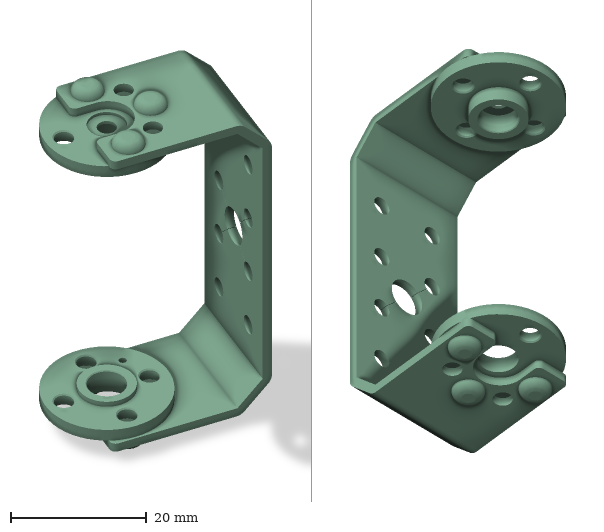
import cadquery as cq
import math

TOTAL_HEIGHT = 57.4

WIDTH = 20.0
SHEET = 1.5
HALF_SPAN = 27.2
BACK_Y = 22.05
ARM_FRONT_Y = -4.0
BEND_LEG = 4.15
BEND_ANGLE = 45
BEND_RADIUS = 2.0
CORNER_RADIUS = 1.0
SLOT_WIDTH = 8.0

HOLE_DIAMETER = 3.0
HOLE_PITCH = 10.0
WEB_HOLE_ROWS = 4
WEB_CENTRE_DIAMETER = 6.05
SLIT_WIDTH = 0.05
SCREW_CIRCLE_RADIUS = 7.0

HEAD_RADIUS = 2.5
HEAD_HEIGHT = TOTAL_HEIGHT / 2 - HALF_SPAN

HORN_X = -0.35
HORN_DIAMETER = 20.0
HORN_THICKNESS = 2.0
HORN_HOLE_CHAMFER = 0.2
HUB_DIAMETER = 8.9
UPPER_HUB_HEIGHT = 2.4
LOWER_HUB_HEIGHT = 0.9
HUB_BORE_DIAMETER = 6.0
HUB_BORE_CHAMFER = 0.145
RECESS_DEPTH = 0.5
FLOOR_THICKNESS = 0.5
PIN_HOLE_DIAMETER = 1.2
PIN_HOLE_DEPTH = 1.0

WEB_INNER_Y = BACK_Y - SHEET
ARM_INNER_Z = HALF_SPAN - SHEET
WEB_HALF_HEIGHT = ARM_INNER_Z - BEND_LEG
BEND_SETBACK = SHEET * math.tan(math.radians(BEND_ANGLE / 2))
OUTER_CORNER_Y = WEB_INNER_Y - BEND_LEG + BEND_SETBACK
OUTER_CORNER_Z = WEB_HALF_HEIGHT + BEND_SETBACK
SCREW_PLACES = [(-SCREW_CIRCLE_RADIUS, 0), (0, SCREW_CIRCLE_RADIUS), (SCREW_CIRCLE_RADIUS, 0)]
HORN_HOLE_PLACES = SCREW_PLACES + [(0, -SCREW_CIRCLE_RADIUS)]


def cylinder(diameter, bottom, top, places=((0, 0),)):
    """Upright cylinders between two heights, one at each (x, y) place."""
    return (
        cq.Workplane("XY", origin=(0, 0, bottom))
        .pushPoints(places)
        .circle(diameter / 2)
        .extrude(top - bottom)
    )


def make_web():
    web = cq.Workplane("XY").box(WIDTH, SHEET, 2 * WEB_HALF_HEIGHT)
    face = web.faces("<Y").workplane(centerOption="CenterOfBoundBox")
    web = face.rarray(HOLE_PITCH, HOLE_PITCH, 2, WEB_HOLE_ROWS).hole(HOLE_DIAMETER)
    web = web.faces("<Y").workplane(centerOption="CenterOfBoundBox").hole(WEB_CENTRE_DIAMETER)
    slit_length = HOLE_PITCH * math.sqrt(2)
    for angle in (45, -45):
        slit = cq.Workplane("XY").box(slit_length, SHEET, SLIT_WIDTH)
        web = web.cut(slit.rotate((0, 0, 0), (0, 1, 0), angle))
    return web.translate((0, BACK_Y - SHEET / 2, 0))


def bent_strip():
    """Arm sheet from the end of the web, around both 45 degree bends, to its free end.

    The rounding at the web starts a little below the end of the web, so the sheet is
    made longer by its own thickness, rounded, and then cut off square at the web.
    """
    tail_z = WEB_HALF_HEIGHT - SHEET
    strip = (
        cq.Workplane("YZ")
        .moveTo(BACK_Y, tail_z)
        .lineTo(BACK_Y, OUTER_CORNER_Z)
        .lineTo(OUTER_CORNER_Y, HALF_SPAN)
        .lineTo(ARM_FRONT_Y, HALF_SPAN)
        .lineTo(ARM_FRONT_Y, ARM_INNER_Z)
        .lineTo(WEB_INNER_Y - BEND_LEG, ARM_INNER_Z)
        .lineTo(WEB_INNER_Y, WEB_HALF_HEIGHT)
        .lineTo(WEB_INNER_Y, tail_z)
        .close()
        .extrude(WIDTH / 2, both=True)
    )
    for y, z in [(BACK_Y, OUTER_CORNER_Z), (OUTER_CORNER_Y, HALF_SPAN)]:
        strip = strip.edges(cq.selectors.NearestToPointSelector((0, y, z))).fillet(BEND_RADIUS)
    tail = cq.Workplane("XY").box(WIDTH, SHEET, SHEET)
    return strip.cut(tail.translate((0, BACK_Y - SHEET / 2, WEB_HALF_HEIGHT - SHEET / 2)))


def dome_head():
    """Screw head with a flat top and a quarter-round side as high as the head."""
    flat_radius = HEAD_RADIUS - HEAD_HEIGHT
    diagonal = HEAD_HEIGHT * math.sqrt(0.5)
    return (
        cq.Workplane("XZ")
        .lineTo(HEAD_RADIUS, 0)
        .threePointArc((flat_radius + diagonal, diagonal), (flat_radius, HEAD_HEIGHT))
        .lineTo(0, HEAD_HEIGHT)
        .close()
        .revolve(360, (0, 0, 0), (0, 1, 0))
        .translate((0, 0, HALF_SPAN))
    )


def make_upper_arm():
    arm = bent_strip()
    slot = cylinder(SLOT_WIDTH, ARM_INNER_Z, HALF_SPAN)
    slot_mouth = cq.Workplane("XY").box(SLOT_WIDTH, -ARM_FRONT_Y, SHEET, centered=(True, True, False))
    slot = slot.union(slot_mouth.translate((0, ARM_FRONT_Y / 2, ARM_INNER_Z)))
    arm = arm.cut(slot)
    arm = arm.faces("<Y").edges("|Z").fillet(CORNER_RADIUS)
    free_holes = [(side * HOLE_PITCH / 2, HOLE_PITCH / 2) for side in (-1, 1)]
    arm = arm.cut(cylinder(HOLE_DIAMETER, ARM_INNER_Z, HALF_SPAN, free_holes))
    for x, y in SCREW_PLACES:
        arm = arm.union(dome_head().translate((x, y, 0)))
    return arm


def horn_blank(hub_height):
    """Disc with a hub and four chamfered holes; outer face on Z = 0, hub pointing up."""
    disc = cylinder(HORN_DIAMETER, 0, HORN_THICKNESS)
    disc = disc.cut(cylinder(HOLE_DIAMETER, 0, HORN_THICKNESS, HORN_HOLE_PLACES))
    rims = disc.edges("%CIRCLE").edges(cq.selectors.RadiusNthSelector(0))
    disc = rims.chamfer(HORN_HOLE_CHAMFER)
    return disc.union(cylinder(HUB_DIAMETER, 0, HORN_THICKNESS + hub_height))


def bore_hub(horn, floor, hub_top):
    """Wide bore from the hub end down to a floor height, with a chamfered rim."""
    horn = horn.cut(cylinder(HUB_BORE_DIAMETER, floor, hub_top))
    rim = horn.faces(">Z").edges(cq.selectors.RadiusNthSelector(0))
    return rim.chamfer(HUB_BORE_CHAMFER)


def make_upper_horn():
    """Long-hubbed horn, turned hub down: a thin holed floor between outer recess and hub bore."""
    bore_floor = RECESS_DEPTH + FLOOR_THICKNESS
    horn = horn_blank(UPPER_HUB_HEIGHT)
    horn = bore_hub(horn, bore_floor, HORN_THICKNESS + UPPER_HUB_HEIGHT)
    horn = horn.cut(cylinder(HUB_BORE_DIAMETER, 0, RECESS_DEPTH))
    horn = horn.cut(cylinder(HOLE_DIAMETER, RECESS_DEPTH, bore_floor))
    return horn.mirror("XY").translate((HORN_X, 0, ARM_INNER_Z))


def make_lower_horn():
    """Short-hubbed horn with a bore right through and a small blind pin hole."""
    horn = horn_blank(LOWER_HUB_HEIGHT)
    horn = bore_hub(horn, 0, HORN_THICKNESS + LOWER_HUB_HEIGHT)
    pin_place = (-HOLE_PITCH / 2, HOLE_PITCH / 2)
    pin_hole = cylinder(PIN_HOLE_DIAMETER, HORN_THICKNESS - PIN_HOLE_DEPTH, HORN_THICKNESS, [pin_place])
    return horn.cut(pin_hole).translate((HORN_X, 0, -ARM_INNER_Z))


web = make_web()
upper_arm = make_upper_arm()
lower_arm = upper_arm.mirror("XY")
upper_horn = make_upper_horn()
lower_horn = make_lower_horn()

result = cq.Compound.makeCompound(
    [web.val(), upper_arm.val(), lower_arm.val(), upper_horn.val(), lower_horn.val()]
)